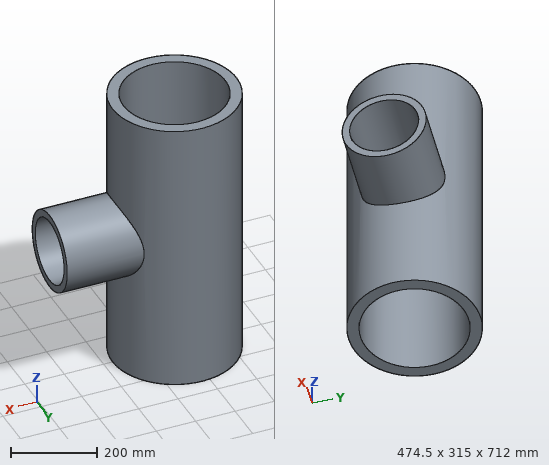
import cadquery as cq

pipe_length = 712.0
pipe_diameter = 315.0
pipe_wall = 28.5

branch_diameter = 200.0
branch_reach = 317.0
wall_ratio = pipe_wall / pipe_diameter
branch_wall = branch_diameter * wall_ratio


def upright_cylinder(diameter):
    return cq.Workplane("XY").circle(diameter / 2).extrude(pipe_length / 2, both=True)


def branch_cylinder(diameter):
    return cq.Workplane("YZ").circle(diameter / 2).extrude(branch_reach)


outside = upright_cylinder(pipe_diameter).union(branch_cylinder(branch_diameter))

main_bore = upright_cylinder(pipe_diameter - 2 * pipe_wall)
branch_bore = branch_cylinder(branch_diameter - 2 * branch_wall)

result = outside.cut(main_bore).cut(branch_bore)